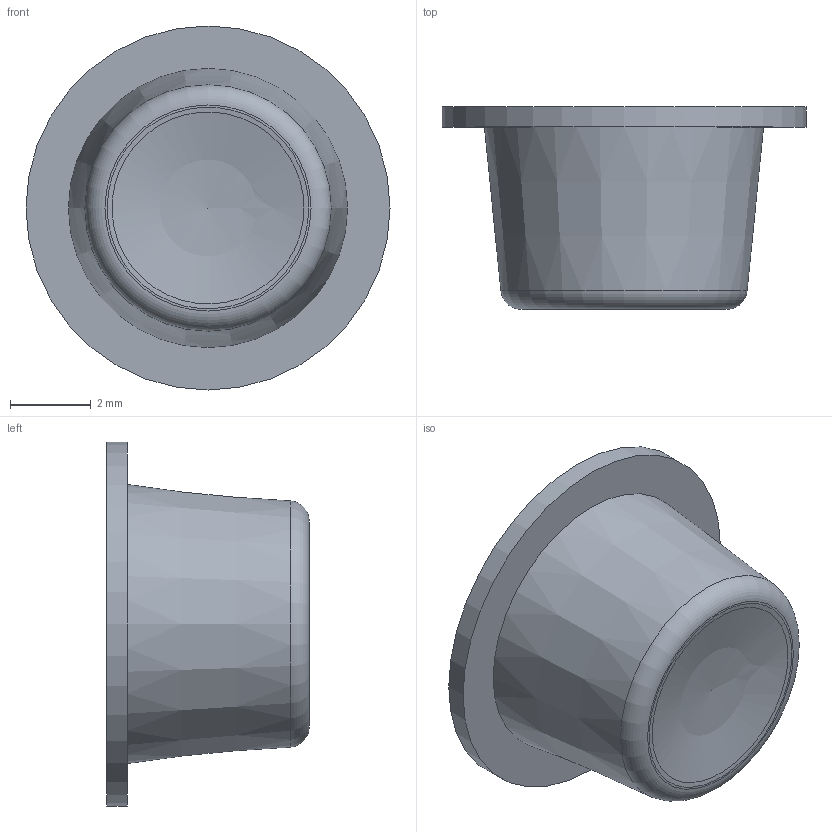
import cadquery as cq
import math

total_length = 5.0
flange_diameter = 9.0
flange_thickness = 0.5
cone_back_diameter = 7.0
cone_tip_diameter = 6.0
edge_radius = 0.5
dish_sphere_radius = 10.0
dish_depth = 0.3

flange_radius = flange_diameter / 2
cone_back_radius = cone_back_diameter / 2
cone_tip_radius = cone_tip_diameter / 2
cone_slope = (cone_back_radius - cone_tip_radius) / total_length
cone_root_radius = cone_back_radius - cone_slope * flange_thickness


def dish_sag(radius):
    """Rise of the dish surface above its lowest point at a distance from the axis."""
    return dish_sphere_radius - math.sqrt(dish_sphere_radius**2 - radius**2)


def make_plug():
    """Flange, tapered body and spherical dish; back face at Y = 0, tip toward -Y."""
    tip_y = -total_length
    dish_bottom_y = tip_y + dish_depth
    dish_rim_radius = math.sqrt(dish_depth * (2 * dish_sphere_radius - dish_depth))
    dish_mid_radius = dish_rim_radius / 2
    dish_mid_y = dish_bottom_y - dish_sag(dish_mid_radius)
    outline = (
        cq.Workplane("XY")
        .moveTo(0, 0)
        .lineTo(flange_radius, 0)
        .lineTo(flange_radius, -flange_thickness)
        .lineTo(cone_root_radius, -flange_thickness)
        .lineTo(cone_tip_radius, tip_y)
        .lineTo(dish_rim_radius, tip_y)
        .threePointArc((dish_mid_radius, dish_mid_y), (0, dish_bottom_y))
        .close()
    )
    return outline.revolve(360, (0, 0, 0), (0, 1, 0))


def round_tip(plug):
    """Round both edges of the flat ring at the tip: the outer edge and the dish rim."""
    return plug.faces("<Y").edges().fillet(edge_radius)


result = round_tip(make_plug())